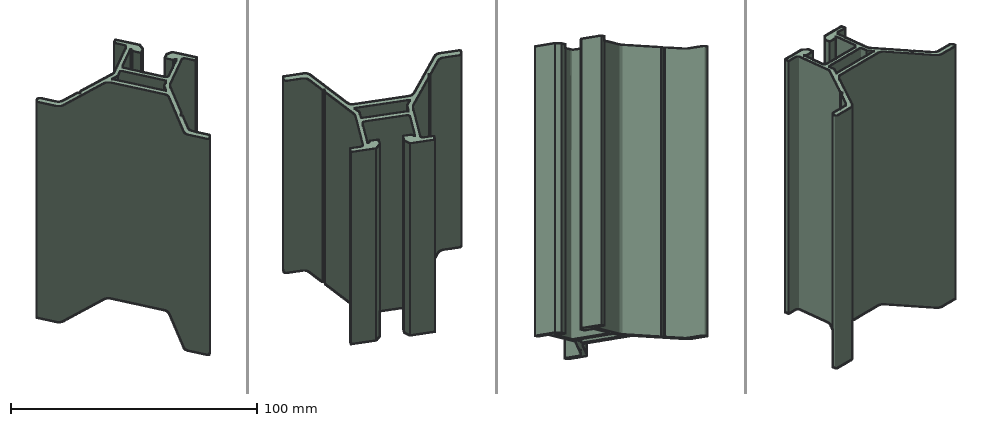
import cadquery as cq
import math

length = 120.0
width = 73.7
height = 45.0
wall = 2.0
leg_wall = 2.3
crossbar_wall = 2.2

web_outer = 11.9
web_inner = web_outer - wall
flange_half_width = 17.4
slot_half_width = 5.0
lip_thickness = 4.5
lip_chamfer = 1.9
relief_width = 1.2
relief_flat = 0.4
relief_depth = 0.8
channel_floor = 30.0
channel_fillet = 1.2
flange_fillet = 1.2

cavity_floor = 22.2
crossbar_bottom = cavity_floor - crossbar_wall
cavity_top = channel_floor - wall
cavity_fillet = 0.5

leg_angle = math.radians(56)
knee_y = 25.8
knee_radius = 3.0
foot_thickness = 2.6
foot_top_radius = 1.2
foot_bottom_radius = 0.7
bend_outer_radius = 3.0
bend_inner_radius = 3.0
crossbar_fillet = 3.0

notch_top = 11.5
notch_bottom = 10.2


def leg_x(y, depth=0.0):
    """Half width of the leg face lying `depth` inside its outer face, at height y."""
    knee_drop = knee_y - y
    return web_outer + knee_drop / math.tan(leg_angle) - depth / math.sin(leg_angle)


def extrude_outline(points):
    return cq.Workplane("XY").polyline(points).close().extrude(length)


def mirrored(points):
    """Close a right-hand outline with its mirror image about X = 0."""
    return points + [(-x, y) for x, y in reversed(points)]


def fillet_edges(body, x, y, radius):
    """Round the lengthwise edges through the profile corner (x, y) and its mirror image."""
    for side in (1, -1):
        edge = cq.selectors.NearestToPointSelector((side * x, y, length / 2))
        body = body.edges("|Z").edges(edge).fillet(radius)
    return body


def make_profile():
    flange_bottom = height - wall
    lip_bottom = height - lip_thickness
    return extrude_outline(mirrored([
        (web_inner, channel_floor),
        (web_inner, lip_bottom + relief_depth),
        (web_inner - relief_flat, lip_bottom + relief_depth),
        (web_inner - relief_width, lip_bottom),
        (slot_half_width, lip_bottom),
        (slot_half_width, height - lip_chamfer),
        (slot_half_width + lip_chamfer, height),
        (flange_half_width, height),
        (flange_half_width, flange_bottom),
        (web_outer, flange_bottom),
        (web_outer, knee_y),
        (leg_x(foot_thickness), foot_thickness),
        (width / 2, foot_thickness),
        (width / 2, 0),
        (leg_x(0, leg_wall), 0),
        (leg_x(crossbar_bottom, leg_wall), crossbar_bottom),
    ]))


def round_profile(body):
    body = fillet_edges(body, web_inner, channel_floor, channel_fillet)
    body = fillet_edges(body, web_outer, height - wall, flange_fillet)
    body = fillet_edges(body, web_outer, knee_y, knee_radius)
    body = fillet_edges(body, leg_x(foot_thickness), foot_thickness, bend_inner_radius)
    body = fillet_edges(body, leg_x(0, leg_wall), 0, bend_outer_radius)
    body = fillet_edges(body, leg_x(crossbar_bottom, leg_wall), crossbar_bottom, crossbar_fillet)
    body = fillet_edges(body, width / 2, foot_thickness, foot_top_radius)
    return fillet_edges(body, width / 2, 0, foot_bottom_radius)


def make_cavity():
    inner_knee_y = knee_y + wall * math.tan(leg_angle) - leg_wall / math.cos(leg_angle)
    cavity = extrude_outline(mirrored([
        (web_inner, cavity_top),
        (web_inner, inner_knee_y),
        (leg_x(cavity_floor, leg_wall), cavity_floor),
    ]))
    return fillet_edges(cavity, web_inner, cavity_top, cavity_fillet)


def make_notch(side):
    return extrude_outline([
        (side * leg_x(notch_top), notch_top),
        (side * leg_x(notch_top), notch_bottom),
        (side * leg_x(notch_bottom), notch_bottom),
    ])


result = round_profile(make_profile()).cut(make_cavity())
for side in (1, -1):
    result = result.cut(make_notch(side))

result = result.translate((0, -height / 2, -length / 2))